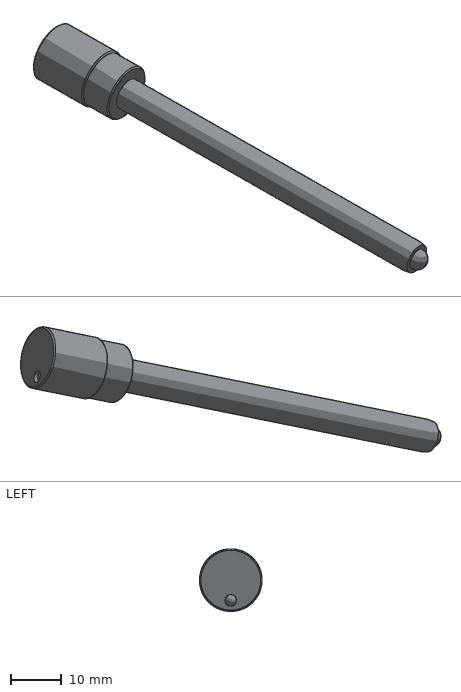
import cadquery as cq

OVERALL_LENGTH = 95.25
KNOB_DIAMETER = 12.4
KNOB_LENGTH = 12.8
KNOB_CHAMFER = 0.3
COLLAR_DIAMETER = 11.7
COLLAR_END = 19.05
COLLAR_CHAMFER = 0.3
ROD_DIAMETER = 6.6
ROD_SHOULDER = 91.6
ROD_END = 93.1
ROD_END_DIAMETER = 6.1
NOSE_RADIUS = OVERALL_LENGTH - ROD_END
BALL_DIAMETER = 2.3
BALL_OFFSET = 4.0
BALL_RECESS = 0.4

ROD_RADIUS = ROD_DIAMETER / 2
BALL_RADIUS = BALL_DIAMETER / 2
POCKET_DEPTH = BALL_RECESS + BALL_DIAMETER


def cylinder(start, end, diameter):
    """Cylinder along X between two stations."""
    return cq.Workplane("YZ", origin=(start, 0, 0)).circle(diameter / 2).extrude(end - start)


def make_head():
    """Knob and collar in one piece, with the ball pocket in the outer face."""
    knob = cylinder(0, KNOB_LENGTH, KNOB_DIAMETER).edges().chamfer(KNOB_CHAMFER)
    collar = cylinder(KNOB_LENGTH, COLLAR_END, COLLAR_DIAMETER).faces(">X").edges().chamfer(COLLAR_CHAMFER)
    pocket = cylinder(0, POCKET_DEPTH, BALL_DIAMETER).translate((0, 0, -BALL_OFFSET))
    return knob.union(collar).cut(pocket)


def make_ball():
    """Ball resting on the floor of the knob's pocket, just below the outer face."""
    return cq.Workplane("YZ").sphere(BALL_RADIUS).translate((BALL_RECESS + BALL_RADIUS, 0, -BALL_OFFSET))


def make_rod():
    """Plain rod whose far end tapers slightly."""
    profile = (
        cq.Workplane("XY")
        .moveTo(COLLAR_END, 0)
        .lineTo(COLLAR_END, ROD_RADIUS)
        .lineTo(ROD_SHOULDER, ROD_RADIUS)
        .lineTo(ROD_END, ROD_END_DIAMETER / 2)
        .lineTo(ROD_END, 0)
        .close()
    )
    return profile.revolve(360, (0, 0, 0), (1, 0, 0))


def make_nose():
    """Half ball on the end of the rod."""
    profile = (
        cq.Workplane("XY")
        .moveTo(ROD_END, 0)
        .lineTo(ROD_END, NOSE_RADIUS)
        .radiusArc((OVERALL_LENGTH, 0), NOSE_RADIUS)
        .close()
    )
    return profile.revolve(360, (0, 0, 0), (1, 0, 0))


head = make_head()
ball = make_ball()
rod = make_rod()
nose = make_nose()

result = cq.Compound.makeCompound([head.val(), ball.val(), rod.val(), nose.val()])